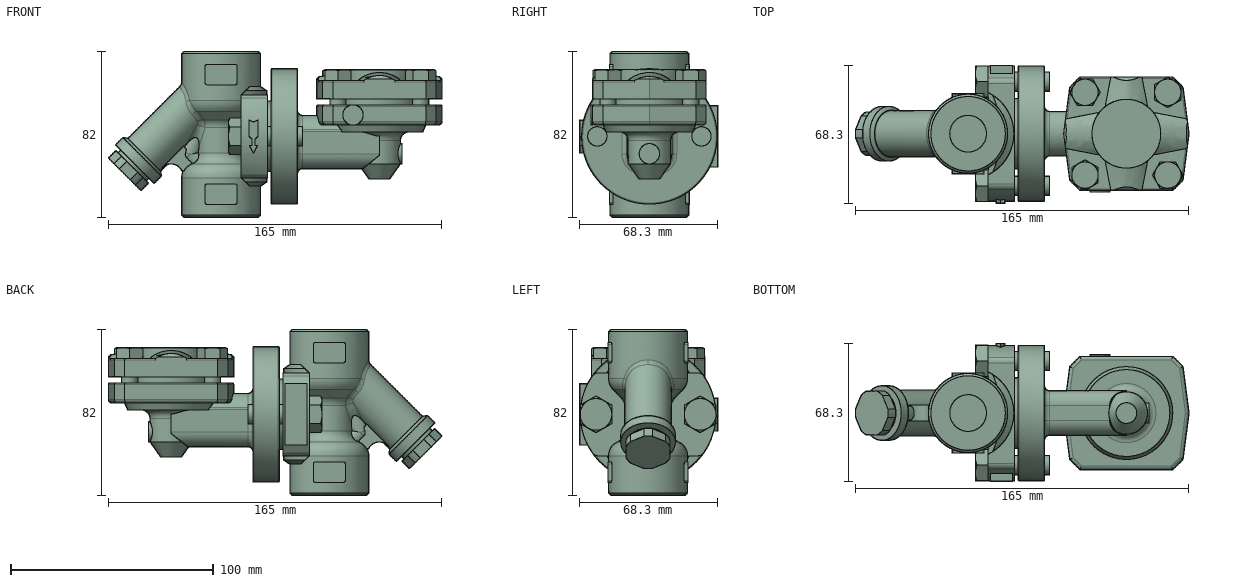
import cadquery as cq
import math

BARREL_R = 39.0 / 2
BARREL_HALF_HEIGHT = 82.0 / 2
BARREL_CHAMFER = 1.2
UPPER_BARREL_Z = 16.8
LOWER_BARREL_Z = -21.5
NECK_R = 11.5
SOCKET_R = 9.0
PAD_SIZE = (15.8, 10.0)
PAD_Z = 29.5
PAD_Y = 19.8
PAD_CORNER_R = 1.0

BRANCH_R = 23.0 / 2
BRANCH_ROOT_R = 3.3
BRANCH_START = (-5.0, 0, 23.0)
COLLAR_R = 27.0 / 2
COLLAR_FROM, COLLAR_TO = 46.7, 53.3
COLLAR_CHAMFER_LENGTH, COLLAR_CHAMFER_DEPTH = 1.5, 1.8
PLUG_NECK_R = 9.9
PLUG_FROM, PLUG_TO = 55.0, 60.3
PLUG_R = 23.0 / 2
PLUG_FLATS = 21.6
WEB_THICKNESS = 7.9
ELBOW_R = 4.6
ELBOW_CENTRE = (-15.3, 0, -9.9)
ELBOW_RISE, ELBOW_DROP = 13.2, 6.6

FLANGE_R = 67.0 / 2
FLANGE_Z = -1.0
BODY_FLANGE_X = (9.9, 23.0)
BODY_FLANGE_HALF_HEIGHT = 20.5
TRAP_FLANGE_X = (24.7, 37.8)
FLANGE_EDGE_R = 0.5
FLANGE_GASKET_R = 35.0 / 2
FLANGE_BOLT_Y = 25.7
FLANGE_BOLT_FLATS = 15.7
FLANGE_BOLT_HEAD = 6.3
FLANGE_STUD_R = 9.5 / 2
FLANGE_STUD_END_X = 40.2
BODY_FLANGE_CORNER_R = 3.3
BLEND_STEP, BLEND_HEIGHT = 1.3, 2.5
BLEND_R = 22.6
BLEND_SLOPE = 4.3
NAMEPLATE_SIZE = (10.9, 4.1, 30.3)
NAMEPLATE_Y = 33.8
ARROW_X, ARROW_Y = 16.0, -34.5

TRAP_X = 78.2
PLATE_HALF_X, PLATE_PEAK = 28.0, 3.0
PLATE_HALF_Y = 28.0
PLATE_CORNER = 5.1
LOWER_PLATE_Z = (4.6, 14.5)
UPPER_PLATE_Z = (17.5, 26.7)
PLATE_TOP_R, PLATE_BOTTOM_R = 0.8, 1.8
TRAP_GASKET_R = 39.0 / 2
TRAP_BOLT_OFFSET = 20.5
TRAP_BOLT_FLATS = 13.0
TRAP_STUD_R = 8.0 / 2
COVER_TOP_Z = 32.0
COVER_DISC_R = 34.0 / 2
RIDGE_INNER = (14.0, 10.4, 4.3)
RIDGE_OUTER = (31.0, 7.1, 1.6)
RIDGE_SINK = 0.8
RIDGE_END_BEVEL = 4.6
BADGE_R = 10.0 / 2
BADGE_X, BADGE_Z = 65.1, 9.5
BADGE_HEIGHT = 0.8

ARM_WIDTH = 22.1
ARM_Z = (-17.0, 9.4)
ARM_CROWN_Z = 1.8
ARM_EDGE_R = 7.3
ARM_SHOULDER_R = 2.5
ARM_ROOT_R = 2.5
ARM_END_CUT_X, ARM_END_CUT_Z = 8.2, 6.6
BOWL_R, BOWL_BOTTOM_R = 45.8 / 2, 21.5
BOWL_BOTTOM_Z = 1.2
NOZZLE_R = 21.0 / 2
NOZZLE_ROOT_R = 4.1
NOZZLE_CONE_Z, NOZZLE_END_Z = -14.5, -22.1
NOZZLE_END_R = 5.1
SIDE_PLUG_R = 10.0 / 2
SIDE_PLUG_X, SIDE_PLUG_Z = 89.4, -9.5


def cylinder(point, direction, radius, length):
    return cq.Workplane(cq.Solid.makeCylinder(radius, length, cq.Vector(*point), cq.Vector(*direction)))


def disc_x(x_from, x_to, radius, y=0.0, z=FLANGE_Z):
    return cylinder((x_from, y, z), (1, 0, 0), radius, x_to - x_from)


def disc_z(z_from, z_to, radius, x=TRAP_X, y=0.0):
    return cylinder((x, y, z_from), (0, 0, 1), radius, z_to - z_from)


def box_at(x_range, y_range, z_range):
    sizes = [high - low for low, high in (x_range, y_range, z_range)]
    corner = (x_range[0], y_range[0], z_range[0])
    return cq.Workplane("XY").box(*sizes, centered=False).translate(corner)


def hex_head(flats, height, turn=0.0):
    """Hexagon standing on Z = 0 with its outer corners bevelled by a 30 degree cone."""
    corner_d = flats / math.cos(math.radians(30))
    prism = cq.Workplane("XY").polygon(6, corner_d).extrude(height).rotate((0, 0, 0), (0, 0, 1), turn)
    bevel_width = (corner_d - flats) / 2
    bevel_drop = bevel_width * math.tan(math.radians(30))
    blank = cq.Workplane("XY").circle(corner_d / 2).extrude(height)
    blank = blank.faces(">Z").chamfer(bevel_drop, bevel_width)
    return prism.intersect(blank)


def body_barrels():
    """Two socket barrels joined by a narrow neck with curved shoulders."""
    lower_dome, lower_hollow = (18.3, -17.3), (12.5, -12.5)
    upper_hollow, upper_dome = (12.0, 5.5), (19.0, 13.8)
    upper_round_r, upper_round_z = 17.5, 11.4
    upper_cone_r, upper_cone_z, upper_neck_z = 13.2, 7.1, 3.3
    lower_neck_z, lower_hollow_r, lower_hollow_z = -9.2, 14.8, -14.5
    profile = (
        cq.Workplane("XZ")
        .moveTo(0, -BARREL_HALF_HEIGHT)
        .lineTo(BARREL_R - BARREL_CHAMFER, -BARREL_HALF_HEIGHT)
        .lineTo(BARREL_R, -BARREL_HALF_HEIGHT + BARREL_CHAMFER)
        .lineTo(BARREL_R, LOWER_BARREL_Z)
        .threePointArc(lower_dome, (lower_hollow_r, lower_hollow_z))
        .threePointArc(lower_hollow, (NECK_R, lower_neck_z))
        .lineTo(NECK_R, upper_neck_z)
        .threePointArc(upper_hollow, (upper_cone_r, upper_cone_z))
        .lineTo(upper_round_r, upper_round_z)
        .threePointArc(upper_dome, (BARREL_R, UPPER_BARREL_Z))
        .lineTo(BARREL_R, BARREL_HALF_HEIGHT - BARREL_CHAMFER)
        .lineTo(BARREL_R - BARREL_CHAMFER, BARREL_HALF_HEIGHT)
        .lineTo(0, BARREL_HALF_HEIGHT)
        .close()
    )
    return profile.revolve(360, (0, 0, 0), (0, 1, 0))


def barrel_pads():
    """Raised rectangular pads on the front and back of both barrels."""
    pads = cq.Workplane("XY")
    for z in (PAD_Z, -PAD_Z):
        pad = cq.Workplane("XY").box(PAD_SIZE[0], 2 * PAD_Y, PAD_SIZE[1])
        pads = pads.union(pad.edges("|Y").fillet(PAD_CORNER_R).translate((0, 0, z)))
    hollow = cylinder((0, 0, -BARREL_HALF_HEIGHT), (0, 0, 1), NECK_R, 2 * BARREL_HALF_HEIGHT)
    return pads.cut(hollow)


def sockets():
    """Blind pipe sockets in both barrel ends."""
    depth = BARREL_HALF_HEIGHT - UPPER_BARREL_Z
    upper = cylinder((0, 0, BARREL_HALF_HEIGHT), (0, 0, -1), SOCKET_R, depth)
    lower = cylinder((0, 0, -BARREL_HALF_HEIGHT), (0, 0, 1), SOCKET_R, depth)
    return upper.union(lower)


def body_with_branch():
    """Barrels and inclined branch with a rounded root where they meet."""
    branch = cylinder(BRANCH_START, (-1, 0, -1), BRANCH_R, COLLAR_TO)
    body_shell = body_barrels().union(branch)
    root_zone = cq.selectors.BoxSelector((-20.6, -12.4, 0), (-8.2, 12.4, 25.5), boundingbox=True)
    return body_shell.edges(root_zone).fillet(BRANCH_ROOT_R)


def branch_end():
    """Collar and hexagonal plug on the end of the inclined branch."""
    collar = cq.Workplane("XY").circle(COLLAR_R).extrude(COLLAR_TO - COLLAR_FROM)
    collar = collar.faces("<Z").chamfer(COLLAR_CHAMFER_LENGTH, COLLAR_CHAMFER_DEPTH)
    neck = cq.Workplane("XY").circle(PLUG_NECK_R).extrude(PLUG_FROM - COLLAR_FROM)
    plug_length = PLUG_TO - PLUG_FROM
    plug = cq.Workplane("XY").polygon(6, PLUG_FLATS / math.cos(math.radians(30))).extrude(plug_length)
    plug = plug.intersect(cq.Workplane("XY").circle(PLUG_R).extrude(plug_length))
    end = collar.union(neck).union(plug.translate((0, 0, PLUG_FROM - COLLAR_FROM)))
    end = end.translate((0, 0, COLLAR_FROM))
    return end.rotate((0, 0, 0), (0, 1, 0), -135).translate(BRANCH_START)


def branch_web():
    """Web and rounded by-pass elbow between the branch and the lower barrel."""
    branch_foot, arch_top, barrel_foot = (-29.3, -17.0), (-24.0, -14.7), (-19.5, -18.0)
    inside_barrel = (-9.9, barrel_foot[1])
    inside_branch = (-21.5, -1.6)
    web = (
        cq.Workplane("XZ")
        .moveTo(*branch_foot)
        .threePointArc(arch_top, barrel_foot)
        .lineTo(*inside_barrel)
        .lineTo(ELBOW_CENTRE[0], ELBOW_CENTRE[2])
        .lineTo(*inside_branch)
        .close()
        .extrude(WEB_THICKNESS / 2, both=True)
    )
    ball = cq.Workplane("XY").sphere(ELBOW_R).translate(ELBOW_CENTRE)
    riser = cylinder(ELBOW_CENTRE, (0.4, 0, 1), ELBOW_R, ELBOW_RISE)
    drop = cylinder(ELBOW_CENTRE, (1, 0, -1), ELBOW_R, ELBOW_DROP)
    return web.union(ball).union(riser).union(drop)


def body_flange():
    """Round flange with flat top and bottom, blended into the upper and lower barrels."""
    x_from, x_to = BODY_FLANGE_X
    top_z = FLANGE_Z + BODY_FLANGE_HALF_HEIGHT
    bottom_z = FLANGE_Z - BODY_FLANGE_HALF_HEIGHT
    flange = disc_x(x_from, x_to, FLANGE_R)
    flange = flange.intersect(box_at(BODY_FLANGE_X, (-FLANGE_R, FLANGE_R), (bottom_z, top_z)))
    flange = flange.edges("|X").fillet(BODY_FLANGE_CORNER_R)
    for face_z, side in ((top_z, 1.6), (bottom_z, -1.6)):
        blend = (
            cq.Workplane("XZ")
            .moveTo(NECK_R, face_z - side)
            .lineTo(BLEND_R, face_z - side)
            .lineTo(BLEND_R, face_z + side * BLEND_STEP)
            .lineTo(BARREL_R, face_z + side * BLEND_HEIGHT)
            .lineTo(NECK_R, face_z + side * BLEND_HEIGHT)
            .close()
            .revolve(360, (0, 0, 0), (0, 1, 0))
        )
        room = (
            cq.Workplane("XZ")
            .moveTo(x_from, face_z - side)
            .lineTo(x_from, face_z)
            .lineTo(x_from + BLEND_SLOPE, face_z + side * BLEND_HEIGHT)
            .lineTo(x_to, face_z + side * BLEND_HEIGHT)
            .lineTo(x_to, face_z - side)
            .close()
            .extrude(FLANGE_R, both=True)
        )
        flange = flange.union(blend.intersect(room))
    return flange


def flange_nameplate():
    """Raised rectangular plate on the back rim of the body flange."""
    x_size, y_size, z_size = NAMEPLATE_SIZE
    plate = cq.Workplane("XY").box(x_size, y_size, z_size)
    x_middle = sum(BODY_FLANGE_X) / 2
    return plate.translate((x_middle, NAMEPLATE_Y - y_size / 2, FLANGE_Z))


def flow_arrow():
    """Raised arrow pointing down on the front rim of the body flange."""
    half_tail, half_stem, half_head = 2.1, 0.8, 2.0
    tail_z, notch, shoulder_z, barb_z, tip_z = 7.1, 1.0, -1.0, -5.6, -9.2
    right_side = [
        (half_tail, tail_z), (half_tail, shoulder_z), (half_stem, shoulder_z - half_tail + half_stem),
        (half_stem, barb_z), (half_head, barb_z),
    ]
    left_side = [(-x, z) for x, z in reversed(right_side)]
    outline = [(0, tail_z - notch)] + right_side + [(0, tip_z)] + left_side
    height = 3.3
    arrow = cq.Workplane("XZ").polyline(outline).close().extrude(height)
    return arrow.translate((ARROW_X, ARROW_Y + height, 0))


def flange_bolts():
    """Two bolts through both flanges with their heads on the body side."""
    bolts = cq.Workplane("XY")
    for y in (-FLANGE_BOLT_Y, FLANGE_BOLT_Y):
        head = hex_head(FLANGE_BOLT_FLATS, FLANGE_BOLT_HEAD)
        head = head.rotate((0, 0, 0), (0, 1, 0), -90).translate((BODY_FLANGE_X[0], y, FLANGE_Z))
        stud = disc_x(BODY_FLANGE_X[0], FLANGE_STUD_END_X, FLANGE_STUD_R, y)
        bolts = bolts.union(head).union(stud)
    return bolts


def trap_arm():
    """Trap flange with the rounded arm that reaches below the trap."""
    flange = disc_x(*TRAP_FLANGE_X, FLANGE_R).edges().fillet(FLANGE_EDGE_R)
    root_x = TRAP_FLANGE_X[1]
    half_width = ARM_WIDTH / 2
    arm = (
        cq.Workplane("YZ")
        .moveTo(-half_width, ARM_Z[0])
        .lineTo(half_width, ARM_Z[0])
        .lineTo(half_width, ARM_CROWN_Z)
        .threePointArc((0, ARM_Z[1]), (-half_width, ARM_CROWN_Z))
        .close()
        .extrude(TRAP_X - root_x)
        .translate((root_x, 0, 0))
    )
    arm = arm.faces("<Z").edges("|X").fillet(ARM_EDGE_R)
    arm = arm.faces(">Y or <Y").edges(">Z").fillet(ARM_SHOULDER_R)
    end_cut = (
        cq.Workplane("XZ")
        .moveTo(TRAP_X, ARM_Z[0] + ARM_END_CUT_Z)
        .lineTo(TRAP_X - ARM_END_CUT_X, ARM_Z[0])
        .lineTo(TRAP_X, ARM_Z[0])
        .close()
        .extrude(ARM_WIDTH, both=True)
    )
    root_zone = cq.selectors.BoxSelector(
        (root_x - 0.2, -ARM_WIDTH, ARM_Z[0] - 1.6), (root_x + 0.2, ARM_WIDTH, ARM_Z[1] + 1.6)
    )
    return flange.union(arm.cut(end_cut)).edges(root_zone).fillet(ARM_ROOT_R)


def trap_bowl():
    """Shallow bowl below the lower plate, running down into the drain nozzle."""
    reach = NOZZLE_ROOT_R * (1 - math.sqrt(0.5))
    profile = (
        cq.Workplane("XZ")
        .moveTo(0, NOZZLE_END_Z)
        .lineTo(NOZZLE_END_R, NOZZLE_END_Z)
        .lineTo(NOZZLE_R, NOZZLE_CONE_Z)
        .lineTo(NOZZLE_R, BOWL_BOTTOM_Z - NOZZLE_ROOT_R)
        .threePointArc((NOZZLE_R + reach, BOWL_BOTTOM_Z - reach), (NOZZLE_R + NOZZLE_ROOT_R, BOWL_BOTTOM_Z))
        .lineTo(BOWL_BOTTOM_R, BOWL_BOTTOM_Z)
        .lineTo(BOWL_R, LOWER_PLATE_Z[0])
        .lineTo(BOWL_R, LOWER_PLATE_Z[1])
        .lineTo(0, LOWER_PLATE_Z[1])
        .close()
    )
    bowl = profile.revolve(360, (0, 0, 0), (0, 1, 0)).translate((TRAP_X, 0, 0))
    return bowl.union(disc_x(TRAP_X, SIDE_PLUG_X, SIDE_PLUG_R, z=SIDE_PLUG_Z))


def trap_plate(z_from, z_to):
    """Plate with cut corners and left and right sides that come to a shallow peak."""
    corner_y = PLATE_HALF_Y - PLATE_CORNER
    flat_x = PLATE_HALF_X - PLATE_CORNER
    peak_x = PLATE_HALF_X + PLATE_PEAK
    return (
        cq.Workplane("XY")
        .moveTo(-flat_x, -PLATE_HALF_Y)
        .lineTo(flat_x, -PLATE_HALF_Y)
        .lineTo(PLATE_HALF_X, -corner_y)
        .lineTo(peak_x, 0)
        .lineTo(PLATE_HALF_X, corner_y)
        .lineTo(flat_x, PLATE_HALF_Y)
        .lineTo(-flat_x, PLATE_HALF_Y)
        .lineTo(-PLATE_HALF_X, corner_y)
        .lineTo(-peak_x, 0)
        .lineTo(-PLATE_HALF_X, -corner_y)
        .close()
        .extrude(z_to - z_from)
        .translate((TRAP_X, 0, z_from))
    )


def cover_ridges():
    """Four arched ridges that fall and narrow from the cover disc to bevelled ends at the plate edges."""
    top_z = UPPER_PLATE_Z[1]

    def ridge_section(distance, half_width, height):
        plane = cq.Plane(origin=(distance, 0, top_z), xDir=(0, 1, 0), normal=(1, 0, 0))
        section = (
            cq.Workplane(plane)
            .moveTo(-half_width, -RIDGE_SINK)
            .lineTo(-half_width, 0)
            .threePointArc((0, height), (half_width, 0))
            .lineTo(half_width, -RIDGE_SINK)
            .close()
        )
        return section.val()

    sections = [ridge_section(*RIDGE_INNER), ridge_section(*RIDGE_OUTER)]
    ridge = cq.Workplane(cq.Solid.makeLoft(sections, True))
    ridges = cq.Workplane("XY")
    for turn in (0, 90, 180, 270):
        ridges = ridges.union(ridge.rotate((0, 0, 0), (0, 0, 1), turn))
    bounds = trap_plate(UPPER_PLATE_Z[0], COVER_TOP_Z).faces(">Z").edges().chamfer(RIDGE_END_BEVEL)
    return ridges.translate((TRAP_X, 0, 0)).intersect(bounds)


def trap_cover():
    """Upper plate with its ridges and the round disc on top."""
    plate = trap_plate(*UPPER_PLATE_Z).faces(">Z").edges().fillet(PLATE_TOP_R)
    disc = disc_z(UPPER_PLATE_Z[1], COVER_TOP_Z, COVER_DISC_R)
    return plate.union(disc).union(cover_ridges())


def trap_bolts():
    """Four cover bolts; their hexagons are turned alternately."""
    bolts = cq.Workplane("XY")
    for x_side in (-1, 1):
        for y_side in (-1, 1):
            turn = 0 if x_side * y_side < 0 else 30
            x = TRAP_X + x_side * TRAP_BOLT_OFFSET
            y = y_side * TRAP_BOLT_OFFSET
            head = hex_head(TRAP_BOLT_FLATS, COVER_TOP_Z - UPPER_PLATE_Z[1], turn)
            stud = disc_z(LOWER_PLATE_Z[1], UPPER_PLATE_Z[0], TRAP_STUD_R, x, y)
            bolts = bolts.union(head.translate((x, y, UPPER_PLATE_Z[1]))).union(stud)
    return bolts


def lower_plate():
    """Lower trap plate with the round badge on its front side."""
    plate = trap_plate(*LOWER_PLATE_Z).faces(">Z").edges().fillet(PLATE_TOP_R)
    plate = plate.faces("<Z").edges().fillet(PLATE_BOTTOM_R)
    badge = cylinder((BADGE_X, -PLATE_HALF_Y, BADGE_Z), (0, -1, 0), BADGE_R, BADGE_HEIGHT)
    return plate.union(badge)


body = body_with_branch().union(branch_end()).union(branch_web()).union(barrel_pads())
body = body.union(body_flange()).union(flange_nameplate()).union(flow_arrow()).cut(sockets())

trap = trap_arm().union(trap_bowl()).union(lower_plate()).union(trap_cover())
trap = trap.union(disc_z(LOWER_PLATE_Z[1], UPPER_PLATE_Z[0], TRAP_GASKET_R)).union(trap_bolts())

flange_gasket = disc_x(BODY_FLANGE_X[1], TRAP_FLANGE_X[0], FLANGE_GASKET_R)
result = body.union(flange_gasket).union(trap).union(flange_bolts())